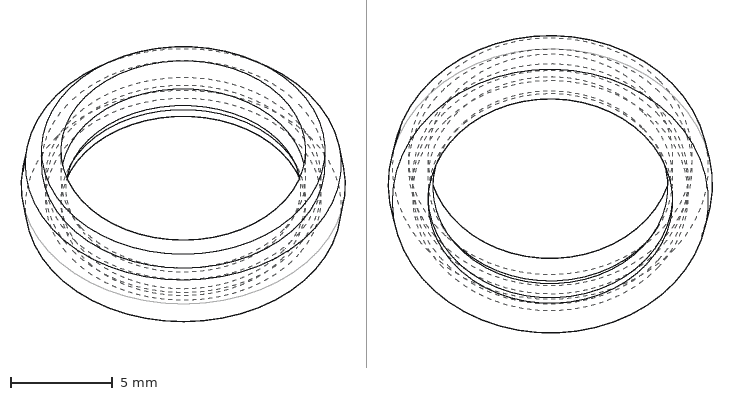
import cadquery as cq

outer_radius = 7.95
rim_end_radius = 7.75
collar_radius = 6.95
bore_radius = 6.0
height = 4.0
rim_height = 3.0
widest_z = rim_height / 2

cord_diameter = 1.0
cord_radius = cord_diameter / 2
seal_inner_radius = 5.75
seal_centre_radius = seal_inner_radius + cord_radius

groove_floor_z = 0.5
groove_width = 1.5
groove_roof_z = groove_floor_z + groove_width
groove_radius = seal_centre_radius + cord_radius
seal_z = groove_floor_z + groove_width / 2


def make_retainer():
    """Revolved ring with a double-tapered rim, a collar and a seal groove in its bore."""
    profile = [
        (bore_radius, 0),
        (rim_end_radius, 0),
        (outer_radius, widest_z),
        (rim_end_radius, rim_height),
        (collar_radius, rim_height),
        (collar_radius, height),
        (bore_radius, height),
        (bore_radius, groove_roof_z),
        (groove_radius, groove_roof_z),
        (groove_radius, groove_floor_z),
        (bore_radius, groove_floor_z),
    ]
    return cq.Workplane("XZ").polyline(profile).close().revolve(360, (0, 0), (0, 1))


def make_seal():
    """O-ring whose inner side stands proud of the bore."""
    cord = cq.Workplane("XZ").center(seal_centre_radius, seal_z).circle(cord_radius)
    return cord.revolve(360, (-seal_centre_radius, 0), (-seal_centre_radius, 1))


retainer = make_retainer()
seal = make_seal()

result = cq.Compound.makeCompound([retainer.val(), seal.val()])